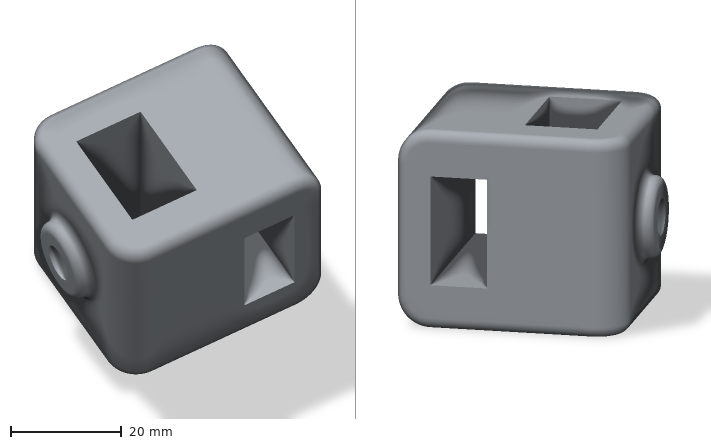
import cadquery as cq

side = 37.0
overall_depth = 45
boss_height = 3.0
depth = overall_depth - boss_height
corner_radius = 6.0
edge_radius = 2.02

window_length = 20.35
vertical_window_width = 13.4
vertical_window_setback = 6.55
cross_window_width = 10.45
cross_window_setback = 6.45

boss_radius = 7.5
boss_round = boss_height / 2
hole_diameter = 6.85

front = 0
back = front + depth
tip = front - boss_height


def make_block():
    """Block with large rounds on two edge pairs and small rounds elsewhere."""
    block = cq.Workplane("XY").box(side, depth, side).translate((0, (front + back) / 2, 0))
    block = block.edges("|Z and <Y").fillet(corner_radius)
    block = block.edges("|X and >Y").fillet(corner_radius)
    return block.edges("(|X and <Y) or (|Z and >Y)").fillet(edge_radius)


def make_boss():
    """Boss revolved about Y, flared at its root and rounded at its tip."""
    middle = front - boss_round
    diagonal = boss_round * 0.5 ** 0.5
    root_radius = boss_radius + boss_round
    tip_radius = boss_radius - boss_round
    return (
        cq.Workplane("XY")
        .moveTo(0, front)
        .lineTo(root_radius, front)
        .threePointArc((root_radius - diagonal, middle + diagonal), (boss_radius, middle))
        .threePointArc((tip_radius + diagonal, middle - diagonal), (tip_radius, tip))
        .lineTo(0, tip)
        .close()
        .revolve(360, (0, 0, 0), (0, 1, 0))
    )


vertical_window_y = front + vertical_window_setback + vertical_window_width / 2
cross_window_y = back - cross_window_setback - cross_window_width / 2

vertical_window = (
    cq.Workplane("XY").box(window_length, vertical_window_width, side).translate((0, vertical_window_y, 0))
)
cross_window = (
    cq.Workplane("XY").box(side, cross_window_width, window_length).translate((0, cross_window_y, 0))
)

hole = (
    cq.Workplane("XZ", origin=(0, tip, 0))
    .circle(hole_diameter / 2)
    .extrude(tip - vertical_window_y)
)

result = make_block().union(make_boss()).cut(vertical_window).cut(cross_window).cut(hole)